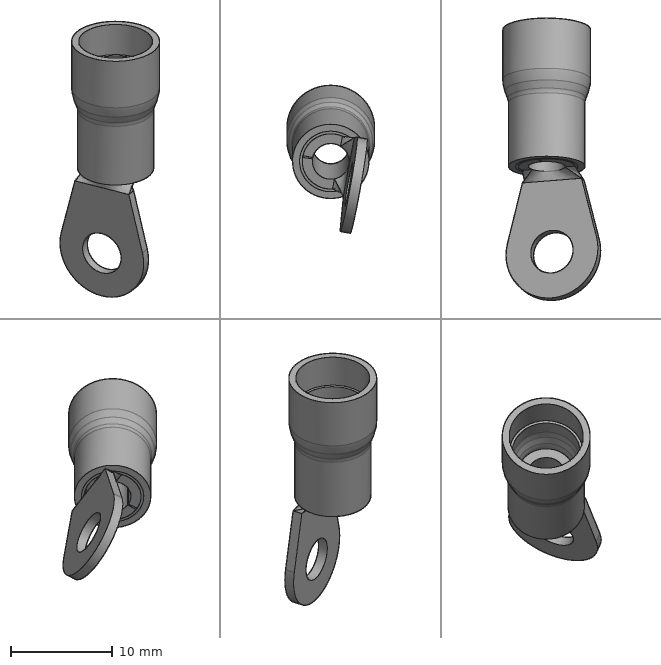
import cadquery as cq
import math

total_height = 27.0
lower_end = 13.0
tongue_top = 12.02
sleeve_top = 23.65

insulator_radius = 4.35
insulator_lower_radius = 3.78
insulator_wall = 0.7
barrel_radius = 2.8
barrel_wall = 1.0
barrel_bore_radius = barrel_radius - barrel_wall
sleeve_wall = insulator_lower_radius - insulator_wall - barrel_radius

shoulder_top = 21.85
shoulder_bottom = 19.5
convex_radius = 3.2
concave_radius = 1.3
shoulder_angle = math.radians(20.7)

tongue_width = 9.48
tongue_radius = tongue_width / 2
tongue_hole_diameter = 4.35
tongue_top_half_width = 3.05
tongue_front = -barrel_radius
tongue_back = -barrel_bore_radius

seam_width = 0.2
neck_start_y = -0.68


def arc_point(center, radius, angle):
    """Point on an arc in the radius-height plane."""
    return (center[0] + radius * math.cos(angle), center[1] + radius * math.sin(angle))


def region_inside(depth, top):
    """Solid bounded by the insulator's outer surface moved inward by depth."""
    convex_center = (insulator_radius - convex_radius, shoulder_top)
    concave_center = (insulator_lower_radius + concave_radius, shoulder_bottom)
    convex = convex_radius - depth
    concave = concave_radius + depth
    return (
        cq.Workplane("XZ")
        .moveTo(0, lower_end)
        .lineTo(insulator_lower_radius - depth, lower_end)
        .lineTo(insulator_lower_radius - depth, shoulder_bottom)
        .threePointArc(
            arc_point(concave_center, concave, math.pi - shoulder_angle / 2),
            arc_point(concave_center, concave, math.pi - shoulder_angle),
        )
        .lineTo(*arc_point(convex_center, convex, -shoulder_angle))
        .threePointArc(
            arc_point(convex_center, convex, -shoulder_angle / 2),
            (insulator_radius - depth, shoulder_top),
        )
        .lineTo(insulator_radius - depth, top)
        .lineTo(0, top)
        .close()
        .revolve(360, (0, 0, 0), (0, 1, 0))
    )


def make_insulator():
    return region_inside(0, total_height).cut(region_inside(insulator_wall, total_height))


def make_sleeve():
    """Thin liner that follows the inside of the insulator."""
    inner_depth = insulator_wall + sleeve_wall
    return region_inside(insulator_wall, sleeve_top).cut(region_inside(inner_depth, sleeve_top))


def make_barrel():
    """Crimp barrel with an open radial seam on the +Y side."""
    height = shoulder_bottom - lower_end
    tube = (
        cq.Workplane("XY", origin=(0, 0, lower_end))
        .circle(barrel_radius)
        .circle(barrel_bore_radius)
        .extrude(height)
    )
    seam = (
        cq.Workplane("XY", origin=(0, 0, lower_end))
        .polyline([(0, 0), (seam_width / 2, barrel_radius), (-seam_width / 2, barrel_radius)])
        .close()
        .extrude(height)
    )
    return tube.cut(seam)


def make_neck():
    """Ruled transition from the -Y part of the barrel wall to the tongue's top edge."""
    outer_x = math.sqrt(barrel_radius**2 - neck_start_y**2)
    inner_x = math.sqrt(barrel_bore_radius**2 - neck_start_y**2)
    wall_corners = [
        cq.Vector(-outer_x, neck_start_y, lower_end),
        cq.Vector(outer_x, neck_start_y, lower_end),
        cq.Vector(inner_x, neck_start_y, lower_end),
        cq.Vector(-inner_x, neck_start_y, lower_end),
    ]
    tongue_corners = [
        cq.Vector(-tongue_top_half_width, tongue_front, tongue_top),
        cq.Vector(tongue_top_half_width, tongue_front, tongue_top),
        cq.Vector(tongue_top_half_width, tongue_back, tongue_top),
        cq.Vector(-tongue_top_half_width, tongue_back, tongue_top),
    ]
    outer_middle = cq.Vector(0, -barrel_radius, lower_end)
    inner_middle = cq.Vector(0, -barrel_bore_radius, lower_end)
    wall_edges = [
        cq.Edge.makeThreePointArc(wall_corners[0], outer_middle, wall_corners[1]),
        cq.Edge.makeLine(wall_corners[1], wall_corners[2]),
        cq.Edge.makeThreePointArc(wall_corners[2], inner_middle, wall_corners[3]),
        cq.Edge.makeLine(wall_corners[3], wall_corners[0]),
    ]
    tongue_edges = [
        cq.Edge.makeLine(start, end)
        for start, end in zip(tongue_corners, tongue_corners[1:] + tongue_corners[:1])
    ]
    faces = [cq.Face.makeRuledSurface(upper, lower) for upper, lower in zip(wall_edges, tongue_edges)]
    faces.append(cq.Face.makeFromWires(cq.Wire.assembleEdges(wall_edges)))
    faces.append(cq.Face.makeFromWires(cq.Wire.assembleEdges(tongue_edges)))
    return cq.Workplane(cq.Solid.makeSolid(cq.Shell.makeShell(faces)).fix())


def make_tongue():
    """Flat ring tongue whose straight sides are tangent to its round end."""
    rise = tongue_top - tongue_radius
    corner_distance = math.hypot(tongue_top_half_width, rise)
    tangent_angle = math.atan2(rise, tongue_top_half_width) - math.acos(tongue_radius / corner_distance)
    tangent_x, tangent_z = arc_point((0, tongue_radius), tongue_radius, tangent_angle)
    plate = (
        cq.Workplane("XZ", origin=(0, tongue_back, 0))
        .moveTo(-tongue_top_half_width, tongue_top)
        .lineTo(tongue_top_half_width, tongue_top)
        .lineTo(tangent_x, tangent_z)
        .threePointArc((0, 0), (-tangent_x, tangent_z))
        .close()
        .extrude(barrel_wall)
    )
    hole = (
        cq.Workplane("XZ", origin=(0, tongue_back, tongue_radius))
        .circle(tongue_hole_diameter / 2)
        .extrude(barrel_wall)
    )
    return plate.cut(hole)


def make_terminal():
    return make_barrel().union(make_neck()).union(make_tongue())


insulator = make_insulator()
sleeve = make_sleeve()
terminal = make_terminal()

result = cq.Compound.makeCompound([insulator.val(), sleeve.val(), terminal.val()])